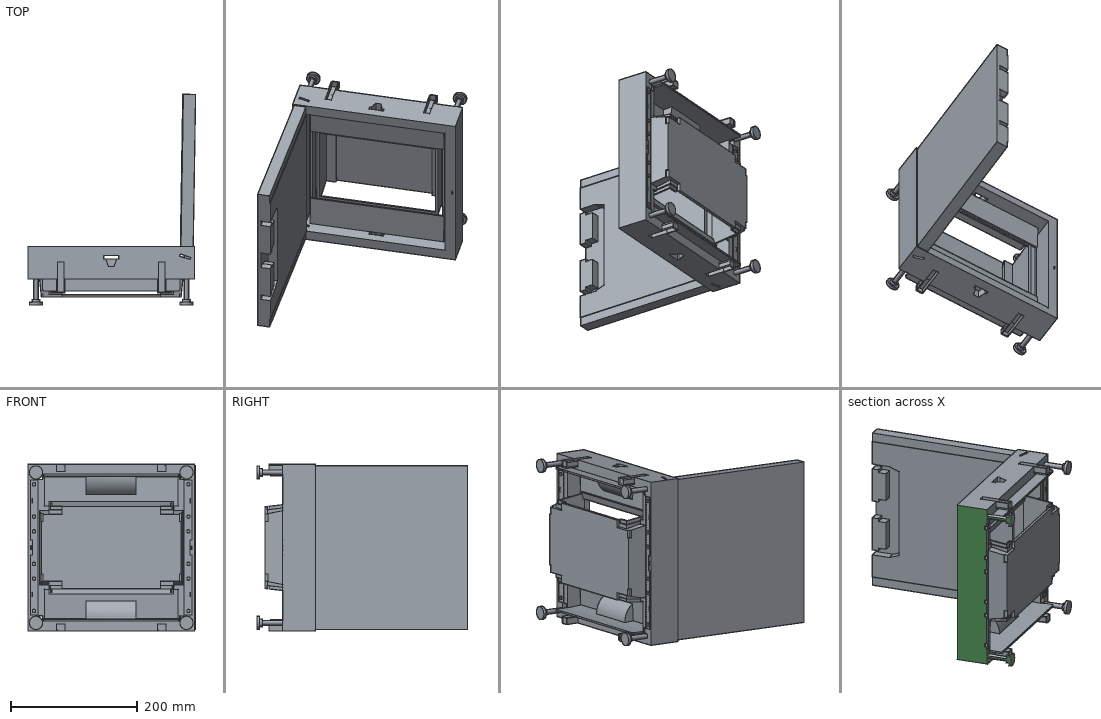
import cadquery as cq
import math

FRAME_SIZE = 264.0
FRAME_DEPTH = 51.7
OPENING_SIZE = 231.0
HALF_FRAME = FRAME_SIZE / 2
HALF_OPENING = OPENING_SIZE / 2
WALL = HALF_FRAME - HALF_OPENING

FOOT_INSET = 13.0
FOOT_REACH = 41.0
ROD_DIA = 7.7
COLLAR_DIA = 12.7
COLLAR_THICK = 4.5
DISC_DIA = 21.0
DISC_THICK = 4.7

RAIL_OUTER = 127.5
RAIL_HALF_HEIGHT = 106.8
RAIL_SINK = 1.0
RAIL_STEP = 2.7
RAIL_STEP_HALF_HEIGHT = 12.0
SCREW_X = 122.0
SCREW_DIA = 5.5
SCREW_DEPTH = 3.5
SCREW_HEIGHTS = (25.7, 49.0, 100.0)
SLIT_X = 125.0
SLIT_WIDTH = 1.0
SLIT_HEIGHT = 6.7
SLIT_Z = 74.0
SIGHT_SLOT_X = 126.8
SIGHT_SLOT_WIDTH = 1.5
SIGHT_SLOT_HEIGHT = 5.5

HOOK_X = 79.8
HOOK_WIDTH = 13.5
HOOK_HEIGHT = 11.5
HOOK_REACH = 21.7
HOOK_WALL = 1.7
HOOK_CORNER = 2.0
TROUGH_END = 27.5

LATCH_SLOT_WIDTH = 23.0
LATCH_SLOT_HEIGHT = 5.0
LATCH_SLOT_Y = 32.0
LATCH_TIP_Y = 20.0
LATCH_WIDE = 17.7
LATCH_TIP = 8.7
HINGE_X = 117.0
HINGE_Y = 35.5
HINGE_LENGTH = 17.5
HINGE_WIDTH = 3.5
HINGE_ANGLE = -17

POCKET_HALF_WIDTH = 105.8
SHEET = 2.7
LEDGE_REACH = 19.0
LEDGE_Z = 113.5
LEDGE_CORNER = 2.0
PANEL_Y = 29.5
PANEL_END_Z = 66.0
POCKET_SLOPE = 0.05
FLANGE_SINK = 2.5
FLANGE_HALF_HEIGHT = 107.8
SILL_INNER = 98.8
BULGE_WIDTH = 79.0
BULGE_HEIGHT = 27.7
BULGE_RADIUS = 33.5

TRAY_FRONT = 28.5
TRAY_BACK = 26.7
COVER_THICK = 4.0
LINER_HALF_WIDTH = 98.5
LINER_HALF_HEIGHT = 68.0
LINER_SLOPE = 0.12
LINER_LAYER = 2.5
LINER_STEP = 5.5
BACK_RAIL_TOP = 73.0
BACK_RAIL_HEIGHT = 10.7
BACK_RAIL_DEPTH = 5.0
BACK_RAIL_TILT = 14
SHELL_HALF_WIDTH = 113.5
SHELL_HALF_HEIGHT = 58.5
SHELL_SIDE_SLOPE = 0.1
SHELL_END_SLOPE = 0.2
COVER_TAB_HALF_WIDTH = 78.0
CORNER_X = 107.8
CORNER_Z = 41.5
CORNER_DEPTH = 5.0

LID_OUTER_X = 133.67
LID_TOP = 333.8 - FOOT_REACH
LID_THICK = 19.5
LID_LEAN = 0.9
LID_HALF_HEIGHT = 129.8
LID_PAD_HALF_HEIGHT = 115.5
LID_PAD = 1.5
RECESS_DEPTH = 15.5
RECESS_LENGTH = 46.5
RECESS_TAPER = 17.0
RECESS_HALF_WIDE = 77.5
RECESS_HALF_NARROW = 71.5
BLOCK_Z = 41.7
BLOCK_LENGTH = 23.7
BLOCK_HALF_HEIGHT = 22.7
BLOCK_BASE_LENGTH = 10.7
BLOCK_BASE_HALF_HEIGHT = 27.5


def box(x0, x1, y0, y1, z0, z1):
    """Box between two opposite corners."""
    return cq.Workplane("XY").box(x1 - x0, y1 - y0, z1 - z0, centered=False).translate((x0, y0, z0))


def flip_x(shape):
    """Mirror image on the other side of X = 0."""
    return shape.mirror("YZ")


def flip_z(shape):
    """Mirror image on the other side of Z = 0."""
    return shape.mirror("XY")


def cylinder(x, z, dia, y0, y1):
    """Round bar along Y."""
    return cq.Workplane("XZ", origin=(x, y0, z)).circle(dia / 2).extrude(y0 - y1)


def side_profile(points, half_width):
    """Outline in (Y, Z) extruded along X, centred on X = 0."""
    return cq.Workplane("YZ").polyline(points).close().extrude(half_width, both=True)


def make_ring():
    ring = cq.Workplane("XZ").rect(FRAME_SIZE, FRAME_SIZE).rect(OPENING_SIZE, OPENING_SIZE)
    return ring.extrude(-FRAME_DEPTH)


def make_foot(x, z):
    disc_back = DISC_THICK - FOOT_REACH
    collar_back = disc_back + COLLAR_THICK
    rod = cylinder(x, z, ROD_DIA, collar_back, 0)
    collar = cylinder(x, z, COLLAR_DIA, disc_back, collar_back)
    return rod.union(collar).union(cylinder(x, z, DISC_DIA, -FOOT_REACH, disc_back))


def make_rail_cut():
    """Shallow recess of the left rail with its screw holes and slits, and a sight slot beside it."""
    cut = box(-RAIL_OUTER, -HALF_OPENING, 0, RAIL_SINK, -RAIL_HALF_HEIGHT, RAIL_HALF_HEIGHT)
    cut = cut.cut(box(-RAIL_OUTER, RAIL_STEP - RAIL_OUTER, 0, RAIL_SINK,
                      -RAIL_STEP_HALF_HEIGHT, RAIL_STEP_HALF_HEIGHT))
    hole_end = RAIL_SINK + SCREW_DEPTH
    for side in (-1, 1):
        for height in SCREW_HEIGHTS:
            cut = cut.union(cylinder(-SCREW_X, side * height, SCREW_DIA, 0, hole_end))
        slit = cq.Workplane("XY").box(SLIT_WIDTH, 2 * hole_end, SLIT_HEIGHT)
        cut = cut.union(slit.translate((-SLIT_X, 0, side * SLIT_Z)))
    sight_slot = cq.Workplane("XY").box(SIGHT_SLOT_WIDTH, 2 * FRAME_DEPTH, SIGHT_SLOT_HEIGHT)
    return cut.union(sight_slot.translate((-SIGHT_SLOT_X, 0, 0)))


def make_hook(x):
    """Solid outer block of a top hook, its upper +X edge chamfered."""
    block = box(x - HOOK_WIDTH / 2, x + HOOK_WIDTH / 2, -HOOK_REACH, 0, HALF_FRAME - HOOK_HEIGHT, HALF_FRAME)
    return block.edges("|Y and >X and >Z").chamfer(HOOK_CORNER)


def make_hook_trough(x):
    """Channel open to the top that runs from the hook into the frame wall."""
    half = HOOK_WIDTH / 2 - HOOK_WALL
    floor = HALF_FRAME - HOOK_HEIGHT + HOOK_WALL
    return box(x - half, x + half, HOOK_WALL - HOOK_REACH, TROUGH_END, floor, HALF_FRAME)


def make_wall_slots():
    """Latch window and slanted hinge slot through the top wall."""
    wall = cq.Workplane("XY", origin=(0, 0, HALF_OPENING))
    latch_slot = wall.center(0, LATCH_SLOT_Y + LATCH_SLOT_HEIGHT / 2)
    latch_slot = latch_slot.rect(LATCH_SLOT_WIDTH, LATCH_SLOT_HEIGHT).extrude(WALL)
    latch = wall.polyline([
        (-LATCH_WIDE / 2, LATCH_SLOT_Y),
        (-LATCH_TIP / 2, LATCH_TIP_Y),
        (LATCH_TIP / 2, LATCH_TIP_Y),
        (LATCH_WIDE / 2, LATCH_SLOT_Y),
    ]).close().extrude(WALL)
    hinge = wall.center(HINGE_X, HINGE_Y).transformed(rotate=(0, 0, HINGE_ANGLE))
    hinge = hinge.rect(HINGE_LENGTH, HINGE_WIDTH).extrude(WALL)
    return latch_slot.union(latch).union(hinge)


def panel_y(z):
    """Front face of the tilted back panel of the upper pocket."""
    return PANEL_Y + POCKET_SLOPE * (z - LEDGE_Z)


def make_upper_pocket():
    """Bent sheet above the tray: ledge, tilted roof and back panel, closed by two cheeks."""
    half_width = POCKET_HALF_WIDTH + SHEET
    roof_back = LEDGE_Z - POCKET_SLOPE * PANEL_Y
    panel_top = panel_y(roof_back)
    panel_bottom = panel_y(PANEL_END_Z)
    pocket = side_profile([
        (-LEDGE_REACH, LEDGE_Z),
        (0, LEDGE_Z),
        (panel_top, roof_back),
        (panel_bottom, PANEL_END_Z),
        (panel_bottom + SHEET, PANEL_END_Z),
        (panel_top + SHEET, roof_back + SHEET),
        (0, LEDGE_Z + SHEET),
        (-LEDGE_REACH, LEDGE_Z + SHEET),
    ], half_width)
    pocket = pocket.edges("|Z and <Y").chamfer(LEDGE_CORNER)
    bulge_drop = BULGE_RADIUS - math.sqrt(BULGE_RADIUS ** 2 - BULGE_HEIGHT ** 2)
    bulge_bottom = roof_back - BULGE_HEIGHT
    bulge_axis_y = panel_y(bulge_bottom) - bulge_drop + BULGE_RADIUS
    bulge = cq.Workplane("YZ", origin=(0, bulge_axis_y, roof_back)).circle(BULGE_RADIUS)
    bulge = bulge.extrude(BULGE_WIDTH / 2, both=True)
    room = side_profile([
        (0, LEDGE_Z),
        (panel_top, roof_back),
        (panel_y(bulge_bottom), bulge_bottom),
        (0, bulge_bottom),
    ], BULGE_WIDTH / 2)
    return pocket.union(bulge.intersect(room))


def make_left_cheek():
    """Left side wall shared by both pockets, with a flange out to the frame and a sill behind the tray."""
    cheek = box(-POCKET_HALF_WIDTH - SHEET, -POCKET_HALF_WIDTH, FLANGE_SINK, panel_y(PANEL_END_Z),
                -LEDGE_Z, LEDGE_Z)
    flange = box(-HALF_OPENING, -POCKET_HALF_WIDTH, FLANGE_SINK, FLANGE_SINK + SHEET,
                 -FLANGE_HALF_HEIGHT, FLANGE_HALF_HEIGHT)
    sill = box(-POCKET_HALF_WIDTH, -SILL_INNER, FLANGE_SINK, FLANGE_SINK + SHEET,
               -PANEL_END_Z, PANEL_END_Z)
    return cheek.union(flange).union(sill)


def make_frame():
    frame = make_ring()
    rail_cut = make_rail_cut()
    frame = frame.cut(rail_cut).cut(flip_x(rail_cut))

    slots = make_wall_slots()
    frame = frame.cut(slots).cut(flip_z(slots))

    pocket = make_upper_pocket()
    cheek = make_left_cheek()
    for part in (pocket, flip_z(pocket), cheek, flip_x(cheek)):
        frame = frame.union(part)

    for x in (-HOOK_X, HOOK_X):
        for turn in (0, 180):
            frame = frame.union(make_hook(x).rotate((0, 0, 0), (0, 1, 0), turn))
            frame = frame.cut(make_hook_trough(x).rotate((0, 0, 0), (0, 1, 0), turn))

    foot_place = HALF_FRAME - FOOT_INSET
    for x in (-foot_place, foot_place):
        for z in (-foot_place, foot_place):
            frame = frame.union(make_foot(x, z))
    return frame


def tapered_block(half_width, half_height, side_slope, end_slope, y0, y1):
    """Block narrowing towards -Y; the half sizes hold at Y = 0."""
    def section(y):
        plane = cq.Workplane("XZ", origin=(0, y, 0))
        return plane.rect(2 * (half_width + side_slope * y), 2 * (half_height + end_slope * y)).wires().val()
    return cq.Workplane(cq.Solid.makeLoft([section(y0), section(y1)], True))


def make_back_rail():
    """Upper rail across the back of the tray; its front face leans towards the bottom."""
    foot_z = BACK_RAIL_TOP - BACK_RAIL_HEIGHT
    foot_depth = BACK_RAIL_DEPTH - BACK_RAIL_HEIGHT * math.tan(math.radians(BACK_RAIL_TILT))
    return side_profile([
        (TRAY_BACK - BACK_RAIL_DEPTH, BACK_RAIL_TOP),
        (TRAY_BACK, BACK_RAIL_TOP),
        (TRAY_BACK, foot_z),
        (TRAY_BACK - foot_depth, foot_z),
    ], LINER_HALF_WIDTH)


def make_tray():
    tall = HALF_FRAME
    cover_back = COVER_THICK - TRAY_FRONT
    layer_half_width = LINER_HALF_WIDTH - LINER_LAYER
    layer_front = cover_back + LINER_LAYER
    cavity_half = layer_half_width - LINER_LAYER
    cavity_front = layer_front + LINER_LAYER

    tray = tapered_block(SHELL_HALF_WIDTH, SHELL_HALF_HEIGHT, SHELL_SIDE_SLOPE, SHELL_END_SLOPE,
                         -TRAY_FRONT, FLANGE_SINK)
    for half_width, half_height, front in (
        (LINER_HALF_WIDTH, LINER_HALF_HEIGHT - LINER_STEP, cover_back),
        (layer_half_width, LINER_HALF_HEIGHT, layer_front),
    ):
        tray = tray.union(tapered_block(half_width, half_height, 0, LINER_SLOPE, front, TRAY_BACK))
    tab = tapered_block(COVER_TAB_HALF_WIDTH, LINER_HALF_HEIGHT, 0, LINER_SLOPE, -TRAY_FRONT, cover_back)
    tray = tray.union(tab)
    tray = tray.cut(box(-COVER_TAB_HALF_WIDTH, COVER_TAB_HALF_WIDTH, cover_back, TRAY_BACK, -tall, tall))
    tray = tray.cut(box(-cavity_half, cavity_half, cavity_front, TRAY_BACK, -tall, tall))
    rail = make_back_rail()
    tray = tray.union(rail).union(flip_z(rail))
    corner = box(CORNER_X, tall, -TRAY_FRONT, CORNER_DEPTH - TRAY_FRONT, CORNER_Z, tall)
    for notch in (corner, flip_x(corner)):
        tray = tray.cut(notch).cut(flip_z(notch))
    return tray


def make_lid():
    """Leaning plate, recessed at its far end around two stepped blocks."""
    lean = math.radians(LID_LEAN)
    length = LID_TOP - FRAME_DEPTH
    pivot_x = LID_OUTER_X - LID_THICK * math.cos(lean) - length * math.sin(lean)

    lid = box(0, LID_THICK, -3.5, length, -LID_HALF_HEIGHT, LID_HALF_HEIGHT)
    lid = lid.union(box(-LID_PAD, 0, -3.5, length, -LID_PAD_HALF_HEIGHT, LID_PAD_HALF_HEIGHT))

    inner_face = cq.Workplane("YZ", origin=(-LID_PAD, 0, 0))
    recess_end = length - RECESS_LENGTH
    recess = inner_face.polyline([
        (length, -RECESS_HALF_WIDE),
        (recess_end + RECESS_TAPER, -RECESS_HALF_WIDE),
        (recess_end, -RECESS_HALF_NARROW),
        (recess_end, RECESS_HALF_NARROW),
        (recess_end + RECESS_TAPER, RECESS_HALF_WIDE),
        (length, RECESS_HALF_WIDE),
    ]).close().extrude(RECESS_DEPTH)
    lid = lid.cut(recess)
    for z in (-BLOCK_Z, BLOCK_Z):
        for reach, half in ((BLOCK_LENGTH, BLOCK_HALF_HEIGHT), (BLOCK_BASE_LENGTH, BLOCK_BASE_HALF_HEIGHT)):
            lid = lid.union(box(-LID_PAD, RECESS_DEPTH, length - reach, length, z - half, z + half))

    lid = lid.rotate((0, 0, 0), (0, 0, 1), -LID_LEAN).translate((pivot_x, FRAME_DEPTH, 0))
    return lid.intersect(box(0, LID_OUTER_X, FRAME_DEPTH, LID_TOP, -LID_HALF_HEIGHT, LID_HALF_HEIGHT))


frame = make_frame()
tray = make_tray()
lid = make_lid()

result = cq.Compound.makeCompound([frame.val(), tray.val(), lid.val()])